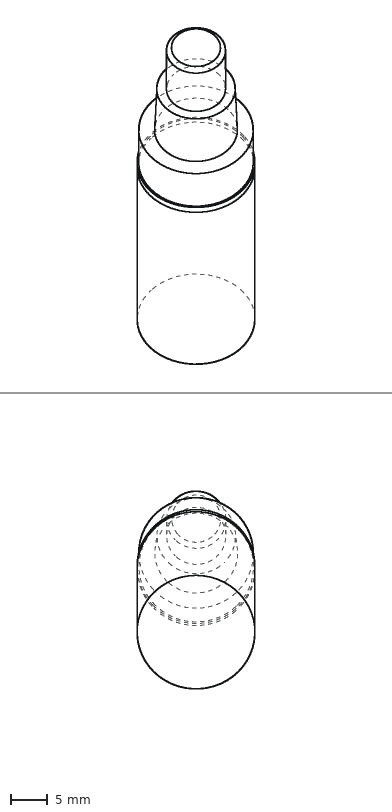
import cadquery as cq

total_height = 57.25
body_diameter = 16.0

sleeve_height = 32.05
flange_top = 33.1
shoulder_top = 39.95
neck_top = 48.6

body_radius = body_diameter / 2
shoulder_radius = 15.5 / 2
neck_base_radius = 5.6
neck_top_radius = 5.3
pin_radius = 4.0

tip_chamfer_width = 0.7
tip_chamfer_height = 0.6


def make_sleeve():
    """Plain cylindrical lower body."""
    return cq.Workplane("XY").circle(body_radius).extrude(sleeve_height)


def make_head():
    """Stepped head on the sleeve: flange, shoulder, tapered neck and chamfered pin."""
    half_profile = (
        cq.Workplane("XZ")
        .moveTo(0, sleeve_height)
        .lineTo(body_radius, sleeve_height)
        .lineTo(body_radius, flange_top)
        .lineTo(shoulder_radius, flange_top)
        .lineTo(shoulder_radius, shoulder_top)
        .lineTo(neck_base_radius, shoulder_top)
        .lineTo(neck_top_radius, neck_top)
        .lineTo(pin_radius, neck_top)
        .lineTo(pin_radius, total_height - tip_chamfer_height)
        .lineTo(pin_radius - tip_chamfer_width, total_height)
        .lineTo(0, total_height)
        .close()
    )
    return half_profile.revolve(360, (0, 0), (0, 1))


sleeve = make_sleeve()
head = make_head()
result = cq.Compound.makeCompound([sleeve.val(), head.val()])